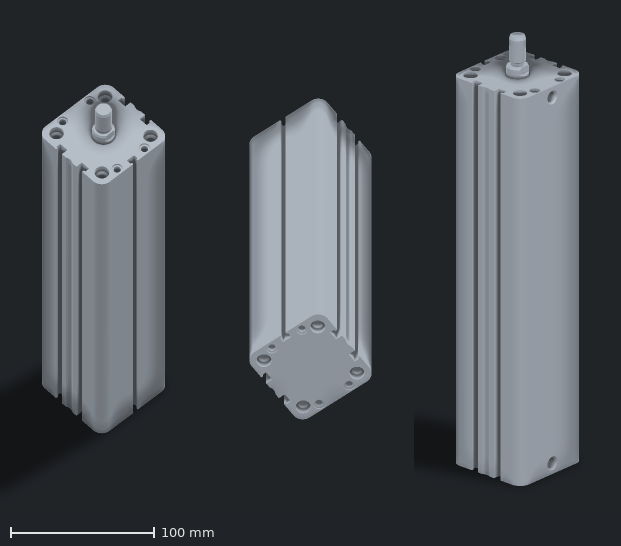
import cadquery as cq

side = 65.5
corner_radius = 8.0
total_length = 325.0
cap_height = 14.5
housing_length = 295.0
barrel_top = housing_length - cap_height
half_side = side / 2

slot_depth = 5.2
slot_lip = 1.5
slot_near_edge = 7.5
slot_mouth_width = 6.0
slot_undercut = 1.3
side_slot_depth = 5.2
side_slot_mouth = 4.5
side_slot_width = 6.8

groove_width = 6.8
groove_depth = 1.0

rod_diameter = 16.0
flat_width = 13.0
flat_bottom = housing_length + 2.5
collar_top = housing_length + 7.8
thread_bottom = collar_top + 2.3
thread_diameter = 12.0
neck_diameter = 10.0
collar_chamfer_radial = 0.8
collar_chamfer_length = 1.5
thread_tip_radial = 0.8
thread_tip_length = 2.3
thread_end_chamfer = 1.0

rod_recess_diameter = 18.0
rod_recess_depth = 1.5

mount_spacing = 46.5
mount_diameter = 10.5
mount_depth = 5.5
mount_bore_diameter = 6.5
mount_bevel_diameter = 8.5
mount_bevel = (mount_bevel_diameter - mount_bore_diameter) / 2

side_hole_offset_x = 28.0
side_hole_offset_y = 13.0
side_hole_diameter = 7.8
side_hole_depth = 1.3
side_hole_bore_diameter = 5.2

port_from_end = 8.0
port_diameter = 8.5
port_mouth_diameter = 10.5
port_depth = 9.8
port_chamfer = (port_mouth_diameter - port_diameter) / 2
air_hole_diameter = 3.5
air_hole_drop = 1.0


def box_between(x_min, x_max, y_min, y_max, z_min, z_max):
    """Box given by its limits along each axis."""
    return (
        cq.Workplane("XY", origin=((x_min + x_max) / 2, (y_min + y_max) / 2, z_min))
        .rect(x_max - x_min, y_max - y_min)
        .extrude(z_max - z_min)
    )


def profile_block(z_min, z_max):
    """Length of the grooved square profile shared by the barrel and both caps."""
    block = box_between(-half_side, half_side, -half_side, half_side, z_min, z_max)
    block = block.edges("|Z").fillet(corner_radius)

    slot_far_edge = slot_near_edge + slot_mouth_width
    slot_floor = half_side - slot_depth
    lip_back = half_side - slot_lip
    mouth = box_between(slot_near_edge, slot_far_edge, slot_floor, half_side, z_min, z_max)
    undercut = box_between(
        slot_near_edge, slot_far_edge + slot_undercut, slot_floor, lip_back, z_min, z_max
    )
    slot = mouth.union(undercut)
    slots = slot.union(slot.mirror("YZ"))
    groove = (
        cq.Workplane("XY", origin=(0, 0, z_min))
        .moveTo(-groove_width / 2, half_side)
        .threePointArc((0, half_side - groove_depth), (groove_width / 2, half_side))
        .close()
        .extrude(z_max - z_min)
    )
    for cutter in (slots, groove):
        block = block.cut(cutter).cut(cutter.mirror("XZ"))

    side_floor = half_side - side_slot_depth
    side_mouth = box_between(
        side_floor, half_side, -side_slot_mouth / 2, side_slot_mouth / 2, z_min, z_max
    )
    side_undercut = box_between(
        side_floor, lip_back, -side_slot_width / 2, side_slot_width / 2, z_min, z_max
    )
    return block.cut(side_mouth).cut(side_undercut)


def stepped_hole(outer_diameter, outer_depth, bore_diameter):
    """Cutter for a counterbored hole from z = 0 down through a cap."""
    counterbore = cq.Workplane("XY").circle(outer_diameter / 2).extrude(-outer_depth)
    bore = cq.Workplane("XY").circle(bore_diameter / 2).extrude(-cap_height)
    return counterbore.union(bore)


def mount_hole():
    """Corner hole whose bore is bevelled where it meets the counterbore floor."""
    bevel = (
        cq.Workplane("XY", origin=(0, 0, -mount_depth))
        .circle(mount_bevel_diameter / 2)
        .workplane(offset=-mount_bevel)
        .circle(mount_bore_diameter / 2)
        .loft()
    )
    return stepped_hole(mount_diameter, mount_depth, mount_bore_diameter).union(bevel)


def end_holes():
    """All corner and side holes of one cap, sunk from z = 0."""
    holes = cq.Workplane("XY")
    mount = mount_hole()
    side_hole = stepped_hole(side_hole_diameter, side_hole_depth, side_hole_bore_diameter)
    mount_offset = mount_spacing / 2
    for x_sign in (-1, 1):
        for y_sign in (-1, 1):
            mount_place = (x_sign * mount_offset, y_sign * mount_offset, 0)
            side_place = (x_sign * side_hole_offset_x, y_sign * side_hole_offset_y, 0)
            holes = holes.add(mount.translate(mount_place))
            holes = holes.add(side_hole.translate(side_place))
    return holes.combine()


def port_cutter(z):
    """Air port with a chamfered mouth, revolved about its axis along X."""
    x_mouth = -half_side
    return (
        cq.Workplane("XZ")
        .moveTo(x_mouth, z)
        .lineTo(x_mouth, z + port_mouth_diameter / 2)
        .lineTo(x_mouth + port_chamfer, z + port_diameter / 2)
        .lineTo(x_mouth + port_depth, z + port_diameter / 2)
        .lineTo(x_mouth + port_depth, z)
        .close()
        .revolve(360, (x_mouth, z, 0), (x_mouth + port_depth, z, 0))
    )


def make_barrel():
    return profile_block(cap_height, barrel_top)


def make_bottom_cap():
    holes = end_holes().mirror("XY")
    cap = profile_block(0, cap_height).cut(holes)
    return cap.cut(port_cutter(port_from_end))


def make_top_cap():
    holes = end_holes().translate((0, 0, housing_length))
    cap = profile_block(barrel_top, housing_length).cut(holes)
    rod_bore = stepped_hole(rod_recess_diameter, rod_recess_depth, rod_diameter)
    cap = cap.cut(rod_bore.translate((0, 0, housing_length)))
    port_z = housing_length - port_from_end
    air_hole = (
        cq.Workplane("XY", origin=(port_depth - half_side, 0, barrel_top))
        .circle(air_hole_diameter / 2)
        .extrude(port_z - air_hole_drop - barrel_top)
    )
    return cap.cut(port_cutter(port_z)).cut(air_hole)


def make_rod():
    """Turned rod with a threaded end, and two wrench flats facing -X and +X."""
    rod_radius = rod_diameter / 2
    thread_radius = thread_diameter / 2
    neck_radius = neck_diameter / 2
    rod = (
        cq.Workplane("XZ")
        .moveTo(0, barrel_top)
        .lineTo(rod_radius, barrel_top)
        .lineTo(rod_radius, collar_top - collar_chamfer_length)
        .lineTo(rod_radius - collar_chamfer_radial, collar_top)
        .lineTo(neck_radius, collar_top)
        .lineTo(neck_radius, thread_bottom)
        .lineTo(thread_radius, thread_bottom + thread_end_chamfer)
        .lineTo(thread_radius, total_length - thread_tip_length)
        .lineTo(thread_radius - thread_tip_radial, total_length)
        .lineTo(0, total_length)
        .close()
        .revolve(360, (0, 0, 0), (0, 1, 0))
    )
    flat_x = flat_width / 2
    runout = rod_radius - flat_x
    flat = (
        cq.Workplane("XZ")
        .moveTo(flat_x, collar_top)
        .lineTo(flat_x, flat_bottom)
        .lineTo(flat_x + runout, flat_bottom - runout)
        .lineTo(flat_x + runout, collar_top)
        .close()
        .extrude(rod_radius, both=True)
    )
    return rod.cut(flat).cut(flat.mirror("YZ"))


barrel = make_barrel()
bottom_cap = make_bottom_cap()
top_cap = make_top_cap()
rod = make_rod()

result = cq.Compound.makeCompound([barrel.val(), bottom_cap.val(), top_cap.val(), rod.val()])